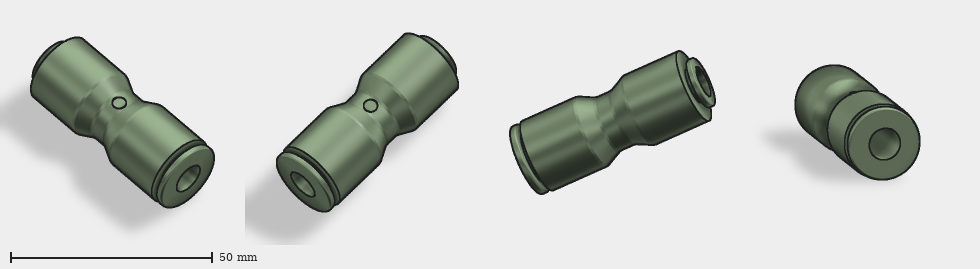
import cadquery as cq

total_length = 49.65
body_start = 2.75
body_end = 46.45
body_radius = 9.5
body_middle = (body_start + body_end) / 2
bore_radius = 4.0

waist_radius = 7.3
waist_length = 4.25
waist_and_cones_length = 13.15
waist_blend_radius = 1.6

small_collar_width = 1.55
small_collar_radius = 6.5
small_collar_rounding = 0.35
small_stem_radius = 4.6
large_collar_width = 2.0
large_collar_radius = 9.25
large_collar_rounding = 0.65
large_stem_radius = 6.65

recess_position = 24.75
recess_radius = 1.75
recess_floor_height = 7.0


def cylinder(start, end, radius):
    """Solid cylinder on the X axis between two X positions."""
    return cq.Workplane("YZ").workplane(offset=start).circle(radius).extrude(end - start)


def collar(start, width, radius, rounding):
    """Release collar with both outer rims rounded."""
    return cylinder(start, start + width, radius).edges().fillet(rounding)


def waisted_body():
    """Revolved body whose cones blend smoothly into the waist and the shoulders."""
    half_waist = waist_length / 2
    half_cones = waist_and_cones_length / 2
    bends = [
        (body_middle - half_cones, body_radius),
        (body_middle - half_waist, waist_radius),
        (body_middle + half_waist, waist_radius),
        (body_middle + half_cones, body_radius),
    ]
    body = (
        cq.Workplane("XY")
        .moveTo(body_start, 0)
        .lineTo(body_start, body_radius)
        .polyline(bends, includeCurrent=True)
        .lineTo(body_end, body_radius)
        .lineTo(body_end, 0)
        .close()
        .revolve(360, (0, 0, 0), (1, 0, 0))
    )
    bend_edges = body.edges("%CIRCLE").edges("not(<X or >X)")
    return body.newObject(bend_edges.vals()).fillet(waist_blend_radius)


large_collar_start = total_length - large_collar_width

result = (
    waisted_body()
    .union(collar(0, small_collar_width, small_collar_radius, small_collar_rounding))
    .union(cylinder(small_collar_width / 2, body_middle, small_stem_radius))
    .union(collar(large_collar_start, large_collar_width, large_collar_radius, large_collar_rounding))
    .union(cylinder(body_middle, total_length - large_collar_width / 2, large_stem_radius))
)

recess = (
    cq.Workplane("XY", origin=(recess_position, 0, recess_floor_height))
    .circle(recess_radius)
    .extrude(body_radius - recess_floor_height)
)
result = result.cut(recess)

result = result.cut(cylinder(0, total_length, bore_radius))